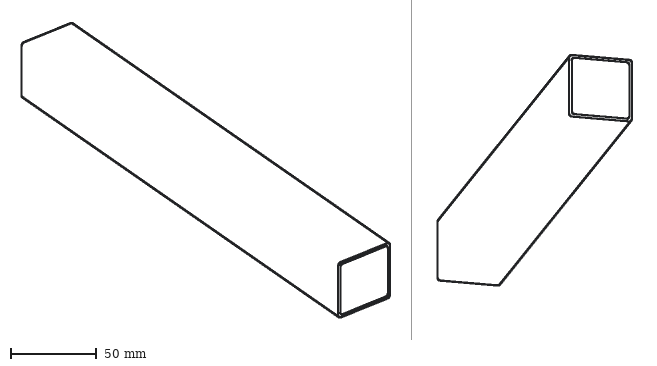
import cadquery as cq

length = 304.8
side = 38.1
wall = 1.651
outer_radius = 1.905
inner_radius = 1.72

bore_side = side - 2 * wall


def rounded_square_bar(width, corner_radius):
    """Square bar along X, centred on the origin, with rounded long edges."""
    bar = cq.Workplane("XY").box(length, width, width)
    return bar.edges("|X").fillet(corner_radius)


outer_bar = rounded_square_bar(side, outer_radius)
bore = rounded_square_bar(bore_side, inner_radius)

result = outer_bar.cut(bore)